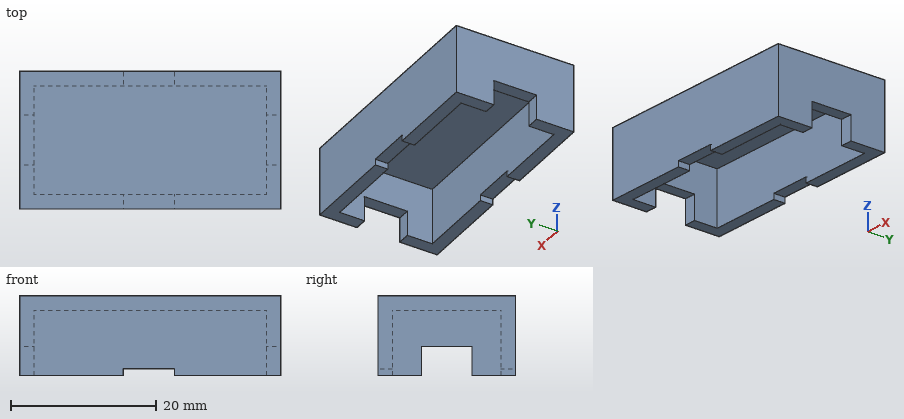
import cadquery as cq

length = 36.0
width = 19.0
height = 11.0

wall = 2.0

end_notch_width = 6.9
end_notch_height = 4.0

side_notch_width = 7.02
side_notch_height = 0.95
side_notch_offset = -0.18


def box_on_base(size_x, size_y, size_z, center_x=0):
    """Box standing on the base plane and centred across the width."""
    box = cq.Workplane("XY").box(size_x, size_y, size_z, centered=(True, True, False))
    return box.translate((center_x, 0, 0))


cover = box_on_base(length, width, height)
cavity = box_on_base(length - 2 * wall, width - 2 * wall, height - wall)

end_notches = box_on_base(length, end_notch_width, end_notch_height)
side_notches = box_on_base(side_notch_width, width, side_notch_height, side_notch_offset)

result = cover.cut(cavity).cut(end_notches).cut(side_notches)